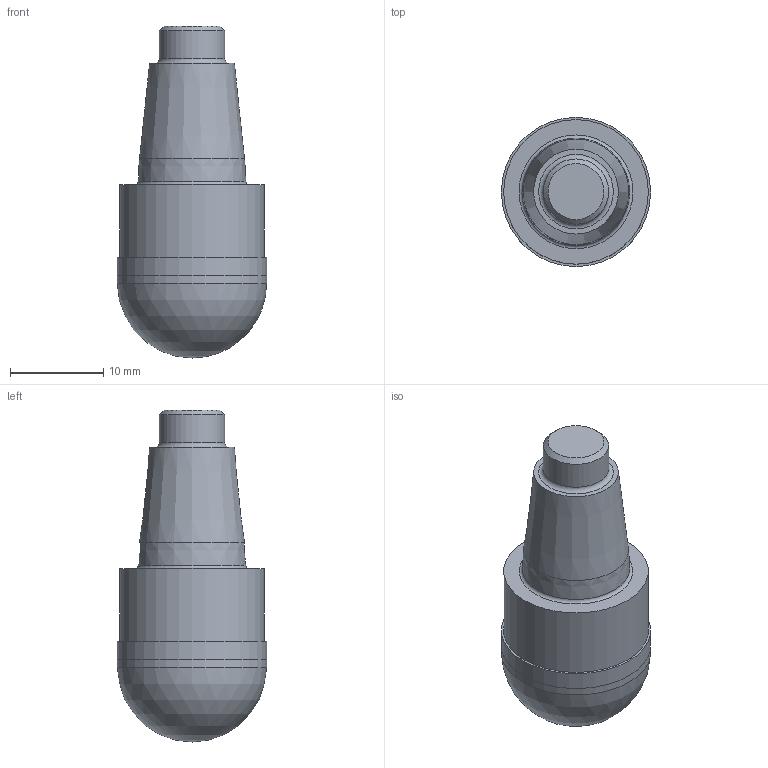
import cadquery as cq
import math

ball_diameter = 16.0
cap_rim_height = 0.85

band_height = 1.95
body_diameter = 15.5
body_height = 7.8
neck_base_diameter = 11.5
neck_height = 13.0
neck_taper_angle = 6.0
neck_fillet = 0.35
neck_curve_height = 2.4
tip_diameter = 7.0
tip_height = 4.0
tip_fillet = 0.5
tip_chamfer = 0.5

ball_radius = ball_diameter / 2
body_radius = body_diameter / 2
neck_base_radius = neck_base_diameter / 2
tip_radius = tip_diameter / 2

cap_top = ball_radius + cap_rim_height
band_top = cap_top + band_height
shoulder = band_top + body_height
neck_top = shoulder + neck_height
tip_top = neck_top + tip_height


def arc_point(center_r, center_z, radius, angle):
    """Point on a circle of the profile plane; angle in degrees from the outward radial direction."""
    a = math.radians(angle)
    return (center_r + radius * math.cos(a), center_z + radius * math.sin(a))


def revolve_profile(profile):
    """Turn a closed (radius, height) profile about the Z axis."""
    return profile.close().revolve(360, (0, 0, 0), (0, 1, 0))


def make_cap():
    profile = (
        cq.Workplane("XZ")
        .moveTo(0, 0)
        .threePointArc(arc_point(0, ball_radius, ball_radius, -45), (ball_radius, ball_radius))
        .lineTo(ball_radius, cap_top)
        .lineTo(0, cap_top)
    )
    return revolve_profile(profile)


def make_stud():
    curve_start = shoulder + neck_fillet
    curve_radius = neck_curve_height / math.sin(math.radians(neck_taper_angle))
    curve_center = (neck_base_radius - curve_radius, curve_start)
    curve_middle = arc_point(*curve_center, curve_radius, neck_taper_angle / 2)
    taper_start = arc_point(*curve_center, curve_radius, neck_taper_angle)
    taper_height = neck_top - taper_start[1]
    neck_top_radius = taper_start[0] - taper_height * math.tan(math.radians(neck_taper_angle))

    neck_fillet_center = (neck_base_radius + neck_fillet, curve_start)
    tip_fillet_center = (tip_radius + tip_fillet, neck_top + tip_fillet)

    profile = (
        cq.Workplane("XZ")
        .moveTo(0, cap_top)
        .lineTo(ball_radius, cap_top)
        .lineTo(ball_radius, band_top)
        .lineTo(body_radius, band_top)
        .lineTo(body_radius, shoulder)
        .lineTo(neck_fillet_center[0], shoulder)
        .threePointArc(arc_point(*neck_fillet_center, neck_fillet, 225), (neck_base_radius, curve_start))
        .threePointArc(curve_middle, taper_start)
        .lineTo(neck_top_radius, neck_top)
        .lineTo(tip_fillet_center[0], neck_top)
        .threePointArc(arc_point(*tip_fillet_center, tip_fillet, 225), (tip_radius, tip_fillet_center[1]))
        .lineTo(tip_radius, tip_top - tip_chamfer)
        .lineTo(tip_radius - tip_chamfer, tip_top)
        .lineTo(0, tip_top)
    )
    return revolve_profile(profile)


cap = make_cap()
stud = make_stud()

result = cq.Compound.makeCompound([cap.val(), stud.val()])